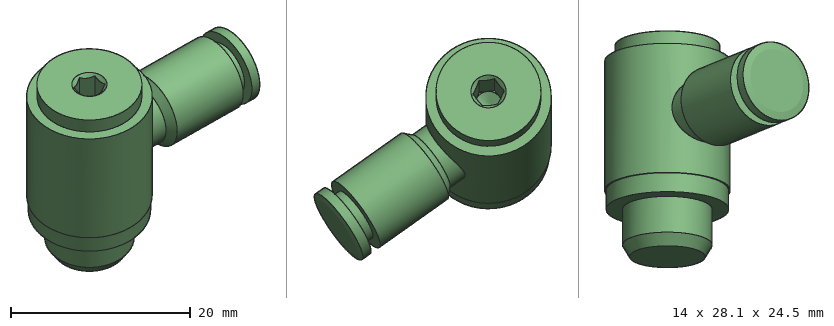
import cadquery as cq
import math

BODY_DIAMETER = 14.0
CAP_DIAMETER = 11.7
COLLAR_DIAMETER = 13.65
STEM_DIAMETER = 10.0
STEM_TIP_DIAMETER = 8.4
TOTAL_HEIGHT = 24.5
CAP_HEIGHT = 1.8
BODY_BOTTOM = 7.7
COLLAR_BOTTOM = 5.5
STEM_TAPER_HEIGHT = 1.35

TOTAL_LENGTH = 28.1
BRANCH_AXIS_HEIGHT = 15.25
BRANCH_DIAMETER = 9
NECK_DIAMETER = 7.22
GROOVE_DIAMETER = 6.4
END_FACE_DIAMETER = 7.22
SLEEVE_TAPER_START = 8.1
SLEEVE_END = 18.52
RING_START = 19.78
RING_TAPER_LENGTH = 0.17

HEX_ACROSS_FLATS = 3.0
HEX_DEPTH = 4.0
COUNTERSINK_DIAMETER = 3.9
COUNTERSINK_ANGLE = 90
DRILL_POINT_ANGLE = 118


def cone_depth(diameter, included_angle):
    """Depth of a pointed cone with the given mouth diameter."""
    return diameter / 2 / math.tan(math.radians(included_angle / 2))


def pointed_cone(diameter, included_angle, mouth_height):
    """Cone on the Z axis with its mouth up and its tip down."""
    depth = cone_depth(diameter, included_angle)
    return cq.Workplane(
        cq.Solid.makeCone(
            diameter / 2, 0, depth, cq.Vector(0, 0, mouth_height), cq.Vector(0, 0, -1)
        )
    )


def make_body():
    """Stepped body revolved about the Z axis."""
    cap_bottom = TOTAL_HEIGHT - CAP_HEIGHT
    profile = [
        (0, 0),
        (STEM_TIP_DIAMETER / 2, 0),
        (STEM_DIAMETER / 2, STEM_TAPER_HEIGHT),
        (STEM_DIAMETER / 2, COLLAR_BOTTOM),
        (COLLAR_DIAMETER / 2, COLLAR_BOTTOM),
        (COLLAR_DIAMETER / 2, BODY_BOTTOM),
        (BODY_DIAMETER / 2, BODY_BOTTOM),
        (BODY_DIAMETER / 2, cap_bottom),
        (CAP_DIAMETER / 2, cap_bottom),
        (CAP_DIAMETER / 2, TOTAL_HEIGHT),
        (0, TOTAL_HEIGHT),
    ]
    return cq.Workplane("XZ").polyline(profile).close().revolve()


def make_branch():
    """Neck, sleeve, groove and end ring revolved about the branch axis."""
    branch_end = TOTAL_LENGTH - BODY_DIAMETER / 2
    ring_taper_start = branch_end - RING_TAPER_LENGTH
    sleeve_start = SLEEVE_TAPER_START + (BRANCH_DIAMETER - NECK_DIAMETER) / 2
    profile = [
        (0, 0),
        (NECK_DIAMETER / 2, 0),
        (NECK_DIAMETER / 2, SLEEVE_TAPER_START),
        (BRANCH_DIAMETER / 2, sleeve_start),
        (BRANCH_DIAMETER / 2, SLEEVE_END),
        (GROOVE_DIAMETER / 2, SLEEVE_END),
        (GROOVE_DIAMETER / 2, RING_START),
        (BRANCH_DIAMETER / 2, RING_START),
        (BRANCH_DIAMETER / 2, ring_taper_start),
        (END_FACE_DIAMETER / 2, branch_end),
        (0, branch_end),
    ]
    branch = cq.Workplane("XY").polyline(profile).close().revolve(360, (0, 0), (0, 1))
    return branch.translate((0, 0, BRANCH_AXIS_HEIGHT))


def make_socket():
    """Hexagon socket with a countersunk mouth and a drill-point bottom."""
    hex_bottom = TOTAL_HEIGHT - HEX_DEPTH
    across_corners = HEX_ACROSS_FLATS / math.cos(math.radians(30))
    hexagon = (
        cq.Workplane("XY", origin=(0, 0, hex_bottom))
        .polygon(6, across_corners)
        .extrude(HEX_DEPTH)
    )
    countersink = pointed_cone(COUNTERSINK_DIAMETER, COUNTERSINK_ANGLE, TOTAL_HEIGHT)
    drill_point = pointed_cone(HEX_ACROSS_FLATS, DRILL_POINT_ANGLE, hex_bottom)
    return hexagon.union(countersink).union(drill_point)


result = make_body().union(make_branch()).cut(make_socket())